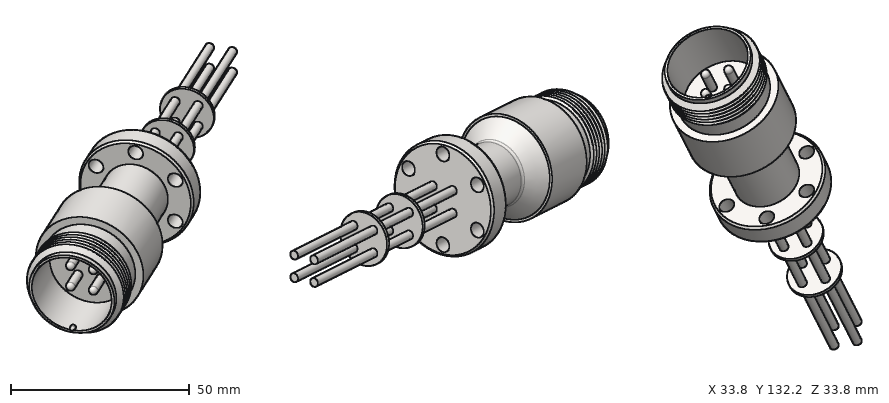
import cadquery as cq
import math


total_length = 132.2
wire_reach = 68.5

flange_radius = 16.9
flange_thickness = 7.1
flange_edge = 0.7
bolt_count = 6
first_bolt_angle = 30
bolt_circle_radius = 13.5
bolt_hole_diameter = 4.4

neck_radius = 9.5
body_radius = 15.9
cone_end_radius = 15.0
cone_end = 30.8
cone_angle = math.radians(45)
cone_start = cone_end - (cone_end_radius - neck_radius) / math.tan(cone_angle)
neck_blend_radius = 1.5
body_end = 47.8

collar_radius = 13.5
rim_radius = 12.5
thread_crest_radius = 14.3
thread_root_radius = 13.5
thread_start = 53.0
thread_length = 8.2
thread_count = 6
thread_pitch = thread_length / thread_count
lead_in_length = 1.3
key_overhang = 0.1
nose_end = total_length - wire_reach - key_overhang

bore_radius = 11.8
bore_floor = body_end

key_radius = 0.8
key_center_radius = 11.6
key_length = 1.6

wire_radius = 1.3
wire_spacing = 6.7
wire_offset = wire_spacing / 2
wire_length = 124.2

spacer_radius = 7.9
spacer_thickness = 1.0
spacer_centers = (21.0, 38.6)


def rod(radius, y_rear, length):
    """Cylinder on the Y axis, running from y_rear toward -Y."""
    return cq.Workplane("XZ", origin=(0, y_rear, 0)).circle(radius).extrude(length)


def make_flange():
    flange = rod(flange_radius, 0, flange_thickness)
    flange = flange.faces("<Y or >Y").edges().chamfer(flange_edge)
    holes = (
        cq.Workplane("XZ")
        .polarArray(bolt_circle_radius, first_bolt_angle, 360, bolt_count)
        .circle(bolt_hole_diameter / 2)
        .extrude(flange_thickness)
    )
    return flange.cut(holes)


def thread_points():
    """Zigzag of thread crests and roots as (radius, y) points."""
    points = [(collar_radius, -thread_start)]
    for turn in range(thread_count):
        crest = thread_start + (turn + 0.5) * thread_pitch
        points.append((thread_crest_radius, -crest))
        if turn < thread_count - 1:
            points.append((thread_root_radius, -crest - thread_pitch / 2))
    last_crest = thread_start + (thread_count - 0.5) * thread_pitch
    points.append((rim_radius, -last_crest - lead_in_length))
    return points


def make_socket():
    half_turn = cone_angle / 2
    tangent = neck_blend_radius * math.tan(half_turn)
    arc_end = (
        neck_radius + tangent * math.sin(cone_angle),
        -cone_start - tangent * math.cos(cone_angle),
    )
    arc_center_radius = neck_radius + neck_blend_radius
    arc_start_y = -cone_start + tangent
    arc_middle = (
        arc_center_radius - neck_blend_radius * math.cos(half_turn),
        arc_start_y - neck_blend_radius * math.sin(half_turn),
    )
    buried_end = -flange_thickness / 2
    profile = (
        cq.Workplane("XY")
        .moveTo(0, buried_end)
        .lineTo(neck_radius, buried_end)
        .lineTo(neck_radius, arc_start_y)
        .threePointArc(arc_middle, arc_end)
        .lineTo(cone_end_radius, -cone_end)
        .lineTo(body_radius, -cone_end)
        .lineTo(body_radius, -body_end)
        .lineTo(collar_radius, -body_end)
    )
    for point in thread_points():
        profile = profile.lineTo(*point)
    profile = (
        profile.lineTo(rim_radius, -nose_end)
        .lineTo(bore_radius, -nose_end)
        .lineTo(bore_radius, -bore_floor)
        .lineTo(0, -bore_floor)
        .close()
    )
    return profile.revolve(360, (0, 0, 0), (0, 1, 0))


def domed_rod(radius, y_rear, length):
    """Rod on the Y axis, square cut at the rear and with a hemispherical front tip."""
    tip = y_rear - length
    dome_base = tip + radius
    dome_middle = radius * math.sqrt(0.5)
    return (
        cq.Workplane("XY")
        .moveTo(0, y_rear)
        .lineTo(radius, y_rear)
        .lineTo(radius, dome_base)
        .threePointArc((dome_middle, dome_base - dome_middle), (0, tip))
        .close()
        .revolve(360, (0, 0, 0), (0, 1, 0))
    )


def make_key():
    key_rear = key_length - key_overhang - nose_end
    return domed_rod(key_radius, key_rear, key_length).translate((0, 0, -key_center_radius))


result = make_flange().union(make_socket()).union(make_key())

for center in spacer_centers:
    result = result.union(rod(spacer_radius, center + spacer_thickness / 2, spacer_thickness))

wire = domed_rod(wire_radius, wire_reach, wire_length)
for x in (-wire_offset, wire_offset):
    for z in (-wire_offset, wire_offset):
        result = result.union(wire.translate((x, 0, z)))